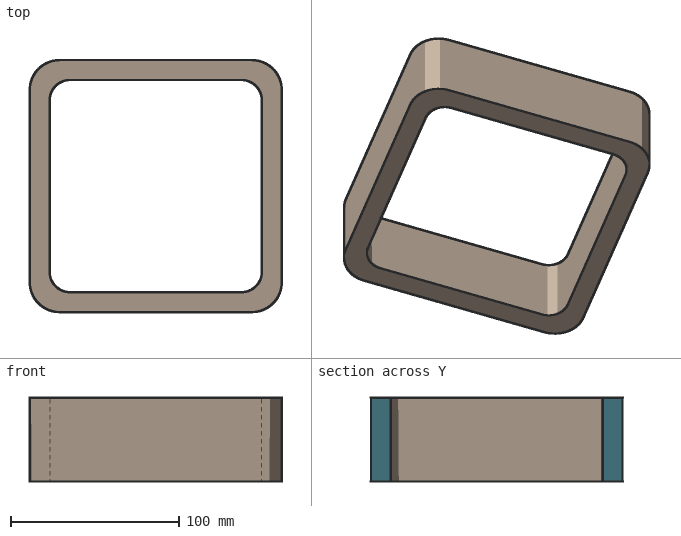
import cadquery as cq

side = 150.0
length = 50.0
wall = 12.0
outer_radius = 1.5 * wall
inner_radius = wall


def rounded_square_bar(width, corner_radius):
    """Square bar standing on the XY plane, with its four upright edges rounded."""
    return cq.Workplane("XY").rect(width, width).extrude(length).edges("|Z").fillet(corner_radius)


outer_bar = rounded_square_bar(side, outer_radius)
bore = rounded_square_bar(side - 2 * wall, inner_radius)

result = outer_bar.cut(bore)